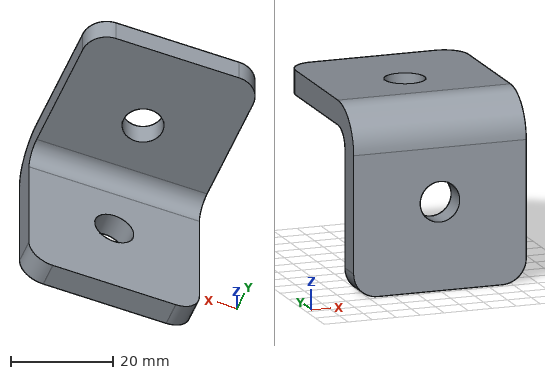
import cadquery as cq

width = 36.0
leg_length = 38.0
thickness = 5.0
inner_bend_radius = 4.0
corner_radius = 5.0
hole_diameter = 8.2
hole_from_end = 18.0

outer_bend_radius = inner_bend_radius + thickness


def bent_plate():
    """L-shaped strip, centred on X, with its outer bend edge along Y = 0, Z = 0."""
    outer = cq.Workplane("XY").box(width, leg_length, leg_length, centered=(True, False, False))
    outer = outer.translate((0, 0, -leg_length))
    outer = outer.edges("|X and <Y and >Z").fillet(outer_bend_radius)

    inner = cq.Workplane("XY").box(width, leg_length, leg_length, centered=(True, False, False))
    inner = inner.translate((0, thickness, -leg_length - thickness))
    inner = inner.edges("|X and <Y and >Z").fillet(inner_bend_radius)
    return outer.cut(inner)


def round_free_corners(plate):
    """Round the two outer corners at the free end of each leg."""
    plate = plate.faces(">Y").edges("|Z").fillet(corner_radius)
    return plate.faces("<Z").edges("|Y").fillet(corner_radius)


def leg_holes():
    """One through-hole cutter for each leg, on the middle of the width."""
    hole_offset = leg_length - hole_from_end
    radius = hole_diameter / 2
    top_hole = cq.Workplane("XY").center(0, hole_offset).circle(radius).extrude(-thickness)
    front_hole = cq.Workplane("XZ").center(0, -hole_offset).circle(radius).extrude(-thickness)
    return top_hole.union(front_hole)


result = round_free_corners(bent_plate()).cut(leg_holes())